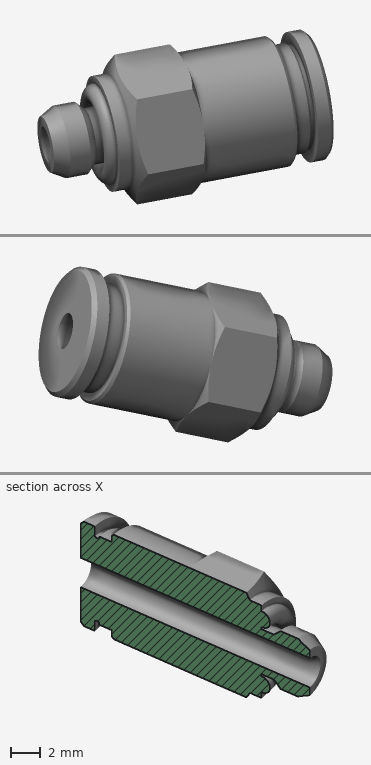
import cadquery as cq
import math

length = 19.1
across_flats = 9.0
body_radius = across_flats / 2
hex_corner_diameter = across_flats / math.cos(math.pi / 6)
bore_radius = 1.25

thread_radius = 2.5
neck_radius = 1.95
tip_chamfer_end = 1.0
thread_end = 2.45
neck_start = thread_end + thread_radius - neck_radius

collar_radius = 4.0
collar_start = 4.01
hex_start = 4.99
ring_outer_radius = 3.5
ring_section_radius = 0.7

hex_end = 9.99
cone_slope = math.tan(math.pi / 6)
trim_clearance = 0.2

body_end = 16.5
body_chamfer = 0.17

sleeve_radius = 3.8
sleeve_end = 17.55
groove_radius = 3.55
groove_edge_radius = 3.63
groove_middle = 17.72
button_start = 17.92
button_chamfer = 0.29


def revolve_profile(points):
    """Turn a closed (radius, Y) outline around the Y axis."""
    profile = cq.Workplane("XY").polyline(points).close()
    return profile.revolve(360, (0, 0, 0), (0, 1, 0))


def make_turned_body():
    return revolve_profile([
        (0, 0),
        (neck_radius, 0),
        (thread_radius, tip_chamfer_end),
        (thread_radius, thread_end),
        (neck_radius, neck_start),
        (neck_radius, collar_start),
        (collar_radius, collar_start),
        (collar_radius, hex_start),
        (body_radius, hex_end),
        (body_radius, body_end - body_chamfer),
        (body_radius - body_chamfer, body_end),
        (sleeve_radius, body_end),
        (sleeve_radius, sleeve_end),
        (groove_edge_radius, sleeve_end),
        (groove_radius, groove_middle),
        (groove_edge_radius, button_start),
        (body_radius, button_start),
        (body_radius, length - button_chamfer),
        (body_radius - button_chamfer, length),
        (0, length),
    ])


def make_hexagon():
    """Hexagon with flats facing +Z and -Z, trimmed by a cone at each end."""
    prism = (
        cq.Workplane("XZ", origin=(0, hex_start, 0))
        .polygon(6, hex_corner_diameter)
        .extrude(hex_start - hex_end)
    )
    trim_radius = hex_corner_diameter / 2 + trim_clearance
    trim = revolve_profile([
        (0, hex_start),
        (collar_radius, hex_start),
        (trim_radius, hex_start + (trim_radius - collar_radius) * cone_slope),
        (trim_radius, hex_end - (trim_radius - body_radius) * cone_slope),
        (body_radius, hex_end),
        (0, hex_end),
    ])
    return prism.intersect(trim)


def make_sealing_ring():
    """Ring of half-round section standing on the front face of the collar."""
    middle_radius = ring_outer_radius - ring_section_radius
    section = (
        cq.Workplane("XY")
        .moveTo(ring_outer_radius, collar_start)
        .threePointArc(
            (middle_radius, collar_start - ring_section_radius),
            (middle_radius - ring_section_radius, collar_start),
        )
        .close()
    )
    return section.revolve(360, (0, 0, 0), (0, 1, 0))


def make_bore():
    return cq.Workplane("XZ").circle(bore_radius).extrude(-length)


result = make_turned_body().union(make_hexagon()).union(make_sealing_ring()).cut(make_bore())